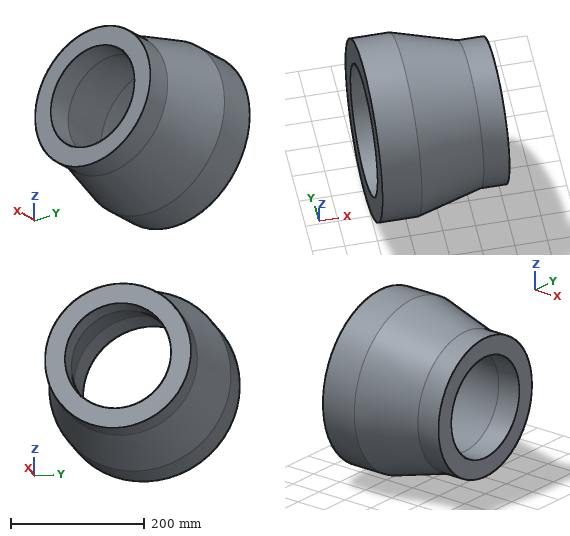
import cadquery as cq

large_outer_diameter = 280.0
large_bore_diameter = 203.3
small_outer_diameter = 225.0
small_bore_diameter = 163.5

large_end_length = 60.0
taper_length = 100.0
small_end_length = 40.0

taper_start = large_end_length
taper_end = taper_start + taper_length
total_length = taper_end + small_end_length


def reducer_solid(large_diameter, small_diameter):
    """Straight large end, conical taper and straight small end, revolved about X."""
    large_radius = large_diameter / 2
    small_radius = small_diameter / 2
    half_profile = (
        cq.Workplane("XY")
        .moveTo(0, 0)
        .lineTo(0, large_radius)
        .lineTo(taper_start, large_radius)
        .lineTo(taper_end, small_radius)
        .lineTo(total_length, small_radius)
        .lineTo(total_length, 0)
        .close()
    )
    return half_profile.revolve(360, (0, 0, 0), (1, 0, 0))


body = reducer_solid(large_outer_diameter, small_outer_diameter)
bore = reducer_solid(large_bore_diameter, small_bore_diameter)

result = body.cut(bore)